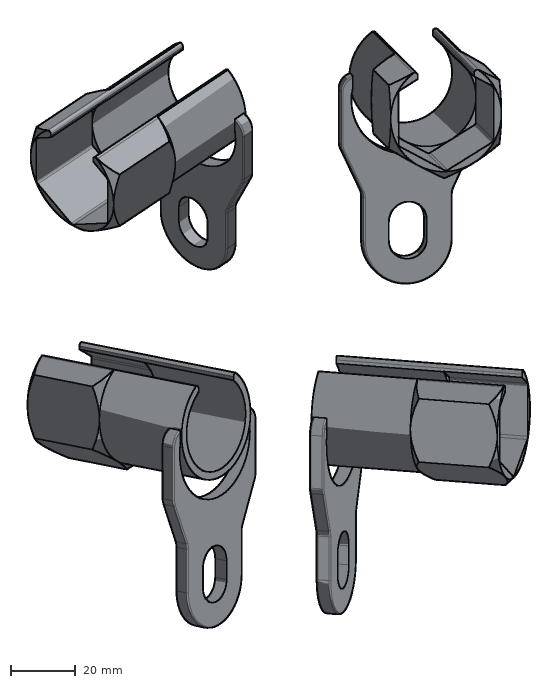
import cadquery as cq
import math

body_length = 60.0
hex_length = 28.0
hex_bore_depth = 25.3
body_width = 35.0
bore_width = 30.0
bore_corner_radius = 1.0
slot_width = 17.8
lip_radius = 1.0

plate_width = 42.0
plate_thickness = 4.5
plate_setback = 0.5
plate_top = 1.8
shoulder_radius = 5.0
shoulder_bottom = -21.0
stem_width = 28.0
stem_top = -36.1
bend_radius = 4.45
plate_edge_radius = 0.5
bend_search_margin = 0.8
stem_arc_center = -51.0
notch_radius = 17.85
notch_center = -5.95
slot_hole_width = 12.0
slot_hole_height = 18.0


def across_corners(across_flats):
    return across_flats * 2 / math.sqrt(3)


def section(y):
    """Sketch plane at the given Y; extrusions run toward +Y, local (-X, Z)."""
    return cq.Workplane(cq.Plane(origin=(0, y, 0), xDir=(-1, 0, 0), normal=(0, 1, 0)))


def hex_prism(across_flats, length):
    """Hexagonal prism along Y with one corner pointing straight down."""
    prism = section(0).polygon(6, across_corners(across_flats)).extrude(length)
    return prism.rotate((0, 0, 0), (0, 1, 0), 30)


def make_outer_body():
    tube = section(0).circle(body_width / 2).extrude(body_length)
    corner_radius = across_corners(body_width) / 2
    corner_chamfer = corner_radius - body_width / 2
    corner_trim = section(0).circle(corner_radius).extrude(hex_length)
    corner_trim = corner_trim.edges().chamfer(corner_chamfer)
    return tube.union(hex_prism(body_width, hex_length).intersect(corner_trim))


def make_plate():
    half_width = plate_width / 2
    half_stem = stem_width / 2
    blank = (
        section(body_length - plate_setback - plate_thickness)
        .moveTo(-half_width, plate_top)
        .lineTo(half_width, plate_top)
        .lineTo(half_width, shoulder_bottom)
        .lineTo(half_stem, stem_top)
        .lineTo(half_stem, stem_arc_center)
        .threePointArc((0, stem_arc_center - half_stem), (-half_stem, stem_arc_center))
        .lineTo(-half_stem, stem_top)
        .lineTo(-half_width, shoulder_bottom)
        .close()
        .extrude(plate_thickness)
    )
    blank = blank.edges("|Y").edges(">Z").fillet(shoulder_radius)
    for bend_height in (shoulder_bottom, stem_top):
        bend_zone = cq.selectors.BoxSelector(
            (-plate_width, 0, bend_height - bend_search_margin),
            (plate_width, body_length, bend_height + bend_search_margin),
        )
        blank = blank.edges("|Y").edges(bend_zone).fillet(bend_radius)
    blank = blank.faces("<Y or >Y").edges().fillet(plate_edge_radius)

    notch = section(0).center(0, notch_center).circle(notch_radius).extrude(body_length)
    slot_hole_center = stem_arc_center + (slot_hole_height - slot_hole_width) / 2
    slot_hole = (
        section(0)
        .center(0, slot_hole_center)
        .slot2D(slot_hole_height, slot_hole_width, 90)
        .extrude(body_length)
    )
    return blank.cut(notch).cut(slot_hole)


def make_bore():
    round_bore = section(0).circle(bore_width / 2).extrude(body_length)
    hex_bore = hex_prism(bore_width, hex_bore_depth).edges("|Y").fillet(bore_corner_radius)
    return round_bore.union(hex_bore)


def make_top_opening():
    """Slot cutter that flares outward at the top to round the outer edges of both lips."""
    half_slot = slot_width / 2
    slope = math.radians(30)
    apex = across_corners(body_width) / 2
    arc_x = half_slot + lip_radius
    arc_z = apex - arc_x * math.tan(slope) - lip_radius / math.cos(slope)
    end_x = arc_x + lip_radius * math.sin(slope)
    end_z = arc_z + lip_radius * math.cos(slope)
    mid_angle = math.radians(120)
    mid_x = arc_x + lip_radius * math.cos(mid_angle)
    mid_z = arc_z + lip_radius * math.sin(mid_angle)
    return (
        section(0)
        .moveTo(-half_slot, 0)
        .lineTo(half_slot, 0)
        .lineTo(half_slot, arc_z)
        .threePointArc((mid_x, mid_z), (end_x, end_z))
        .lineTo(end_x, apex)
        .lineTo(-end_x, apex)
        .lineTo(-end_x, end_z)
        .threePointArc((-mid_x, mid_z), (-half_slot, arc_z))
        .close()
        .extrude(body_length)
    )


result = make_outer_body().union(make_plate()).cut(make_bore()).cut(make_top_opening())